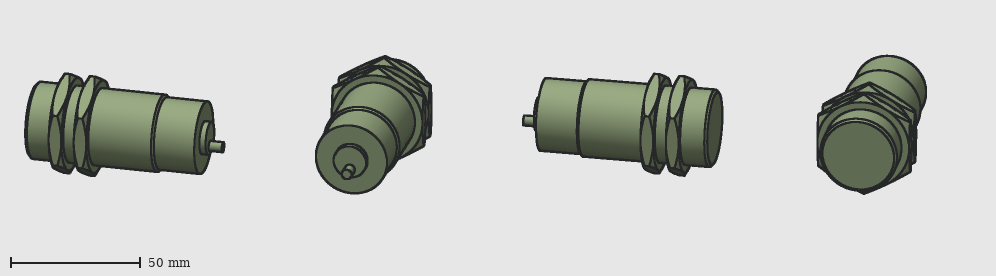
import cadquery as cq
import math

barrel_end = 51.4
rear_end = 67.4
collar_end = 69.9
total_length = 75.1

barrel_diameter = 30.0
rear_diameter = 28.2
collar_diameter = 12.9
cable_diameter = 4.0
cable_drop = 3.15
barrel_chamfer = 1.0

nut_across_flats = 36.0
nut_thickness = 5.0
nut_starts = (10.4, 20.4)
nut_chamfer_angle = 30.0


def cylinder(diameter, start, end, z=0.0):
    """Cylinder along X between two stations."""
    plane = cq.Workplane("YZ", origin=(start, 0, z))
    return plane.circle(diameter / 2).extrude(end - start)


def lock_nut(start):
    """Hexagonal nut whose corners are trimmed by a cone at each face."""
    flat_radius = nut_across_flats / 2
    corner_radius = flat_radius / math.cos(math.radians(30))
    slope = math.tan(math.radians(nut_chamfer_angle))
    cone_depth = (corner_radius - flat_radius) * slope
    end = start + nut_thickness

    hexagon = (
        cq.Workplane("YZ", origin=(start, 0, 0))
        .transformed(rotate=(0, 0, 90))
        .polygon(6, 2 * corner_radius)
        .extrude(nut_thickness)
    )
    double_cone = (
        cq.Workplane("XY")
        .polyline([
            (start, 0),
            (start, flat_radius),
            (start + cone_depth, corner_radius),
            (end - cone_depth, corner_radius),
            (end, flat_radius),
            (end, 0),
        ])
        .close()
        .revolve(360, (0, 0, 0), (1, 0, 0))
    )
    return hexagon.intersect(double_cone)


result = cylinder(barrel_diameter, 0, barrel_end).faces("<X or >X").chamfer(barrel_chamfer)
result = result.union(cylinder(rear_diameter, barrel_end - barrel_chamfer, rear_end))
result = result.union(cylinder(collar_diameter, rear_end, collar_end))
result = result.union(cylinder(cable_diameter, collar_end, total_length, -cable_drop))

for nut_start in nut_starts:
    result = result.union(lock_nut(nut_start))